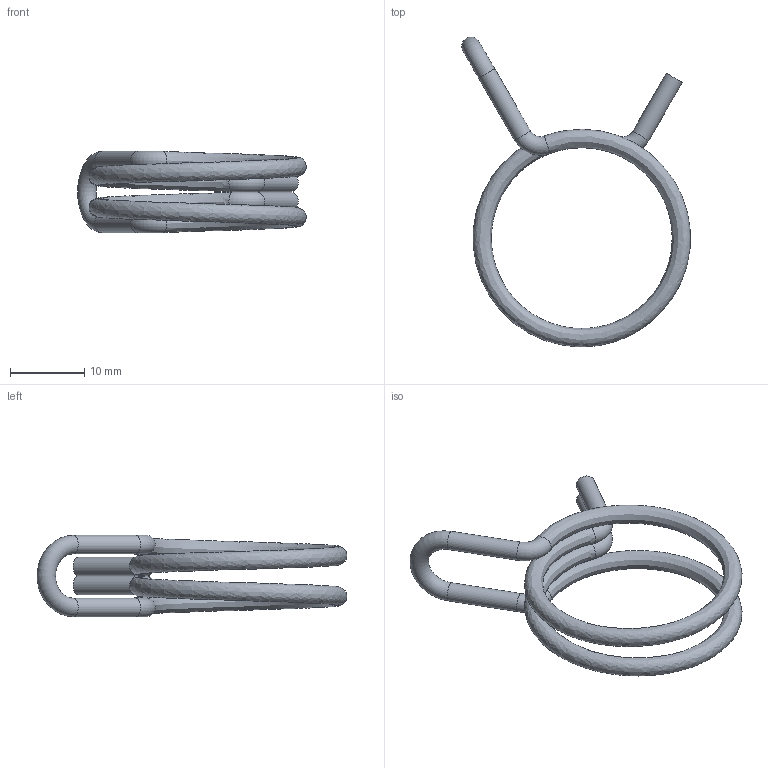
import cadquery as cq
import math


wire_diameter = 2.5
coil_inner_diameter = 24.4
overall_height = 11.0
bend_inner_radius = 1.5
loop_leg_angle = 120.0
free_leg_angle = 60.0
loop_center_reach = 25.68
free_end_reach = 25.0
free_end_gap = 0.04

wire_radius = wire_diameter / 2
coil_radius = coil_inner_diameter / 2 + wire_radius
bend_radius = bend_inner_radius + wire_radius
loop_radius = overall_height / 2 - wire_radius
outer_z = loop_radius
inner_z = wire_radius + free_end_gap / 2

bend_center_reach = coil_radius + bend_radius
bend_span = math.degrees(math.asin(bend_radius / bend_center_reach))
bend_turn = 90 - bend_span
leg_start_reach = bend_center_reach * math.cos(math.radians(bend_span))

coil_start_angle = loop_leg_angle - bend_span
coil_end_angle = free_leg_angle + bend_span
coil_turns = 1 + (coil_start_angle - coil_end_angle) / 360
coil_drop = outer_z - inner_z
coil_pitch = coil_drop / coil_turns


def straight_leg(angle, end_reach, z):
    """Radial straight wire from its bend out to end_reach."""
    return (
        cq.Workplane("YZ")
        .center(0, z)
        .circle(wire_radius)
        .extrude(end_reach - leg_start_reach)
        .translate((leg_start_reach, 0, 0))
        .rotate((0, 0, 0), (0, 0, 1), angle)
    )


def bend(angle, side, z):
    """Flat bend joining a leg to the coil; side is +1 or -1, the way round from leg to coil."""
    start = cq.Plane(origin=(leg_start_reach, 0, z), xDir=(0, side, 0), normal=(-1, 0, 0))
    return (
        cq.Workplane(start)
        .circle(wire_radius)
        .revolve(bend_turn, (bend_radius, -1), (bend_radius, 1))
        .rotate((0, 0, 0), (0, 0, 1), angle)
    )


def coil():
    """Helical wire descending clockwise from the loop-side bend to the free-end bend."""
    helix = cq.Wire.makeHelix(coil_pitch, coil_drop, coil_radius)
    return (
        cq.Workplane("XZ")
        .center(coil_radius, 0)
        .circle(wire_radius)
        .sweep(cq.Workplane(helix), isFrenet=True)
        .rotate((0, 0, 0), (0, 0, 1), coil_end_angle)
        .translate((0, 0, inner_z))
    )


def closed_loop():
    """Upright half turn that closes the two loop legs."""
    return (
        cq.Workplane("YZ", origin=(loop_center_reach, 0, 0))
        .center(0, loop_radius)
        .circle(wire_radius)
        .revolve(180, (-1, -loop_radius), (1, -loop_radius))
        .rotate((0, 0, 0), (0, 0, 1), loop_leg_angle)
    )


upper_half = (
    coil()
    .union(bend(loop_leg_angle, -1, outer_z))
    .union(bend(free_leg_angle, 1, inner_z))
    .union(straight_leg(loop_leg_angle, loop_center_reach, outer_z))
    .union(straight_leg(free_leg_angle, free_end_reach, inner_z))
)
result = upper_half.union(closed_loop()).union(upper_half.mirror("XY"))